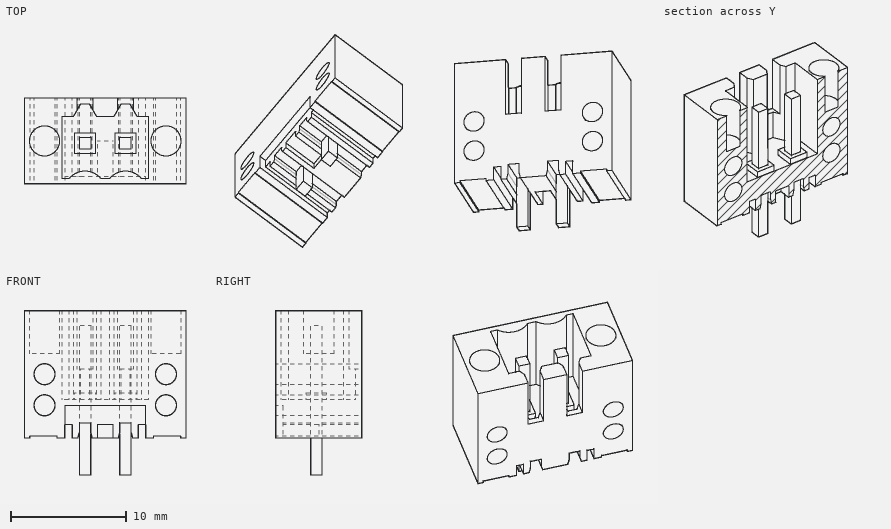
import cadquery as cq

TOTAL_HEIGHT = 14.25

PIN_PITCH = 3.5
PIN_SIZE = 1.0
PIN_Y = -0.21
PIN_PROTRUSION = 3.2
PIN_TOP_DROP = 1.3
PIN_XS = (-PIN_PITCH / 2, PIN_PITCH / 2)

LENGTH = 14.0
WIDTH = 7.45
HEIGHT = TOTAL_HEIGHT - PIN_PROTRUSION
FRONT_Y = -WIDTH / 2
BACK_Y = WIDTH / 2

CAVITY_LENGTH = 7.47
CAVITY_FRONT_Y = -3.25
CAVITY_BACK_Y = 2.12
CAVITY_DEPTH = 7.7
CAVITY_FLOOR_Z = HEIGHT - CAVITY_DEPTH

GROOVE_ROOT_WIDTH = 2.0
GROOVE_TIP_WIDTH = 0.77
GROOVE_TIP_Y = 3.19

RIB_WIDTH = 2.74
RIB_RISE = 0.64

BACK_SLOT_WIDTH = 1.41
BACK_SLOT_DEPTH = 5.06

COLLAR_SIZE = 1.78
COLLAR_HEIGHT = 0.57

END_HOLE_X = 5.26
SCREW_HOLE_DIAMETER = 2.61
SCREW_HOLE_DEPTH = 3.7
CROSS_HOLE_DIAMETER = 1.8
CROSS_HOLE_ZS = (2.85, 5.55)

RECESS_LENGTH = 7.01
RECESS_HEIGHT = 2.82
RECESS_DEPTH = 0.63

COMB_LENGTH = 5.75
NOTCH_HEIGHT = 1.18
MIDDLE_NOTCH_WIDTH = 1.35
MIDDLE_NOTCH_BACK_Y = 0.0
PIN_SLOT_WIDTH = 0.97
PIN_SLOT_HEIGHT = 1.33
FLARE_HEIGHT = 0.51
FLARE_WIDTH = 1.23

FOOT_RELIEF_X = 5.36
FOOT_RELIEF_WIDTH = 2.32
FOOT_RELIEF_HEIGHT = 0.17


def box_between(x_range, y_range, z_range):
    """Axis-aligned box spanning the three (low, high) ranges."""
    lows, highs = zip(x_range, y_range, z_range)
    sizes = [high - low for low, high in zip(lows, highs)]
    return cq.Workplane("XY").box(*sizes, centered=False).translate(lows)


def centred(middle, size):
    """The (low, high) range of the given size around a middle value."""
    return (middle - size / 2, middle + size / 2)


def make_pin(x):
    """Straight square pin, from below the housing up into the cavity."""
    z_range = (-PIN_PROTRUSION, HEIGHT - PIN_TOP_DROP)
    return box_between(centred(x, PIN_SIZE), centred(PIN_Y, PIN_SIZE), z_range)


def groove(x):
    """Tapered groove, narrowing towards the back."""
    outline = [
        (x - GROOVE_ROOT_WIDTH / 2, CAVITY_BACK_Y),
        (x - GROOVE_TIP_WIDTH / 2, GROOVE_TIP_Y),
        (x + GROOVE_TIP_WIDTH / 2, GROOVE_TIP_Y),
        (x + GROOVE_ROOT_WIDTH / 2, CAVITY_BACK_Y),
    ]
    floor = cq.Workplane("XY").workplane(offset=CAVITY_FLOOR_Z)
    return floor.polyline(outline).close().extrude(CAVITY_DEPTH)


def rib(x):
    """Rib whose cross-section is a circle segment on the front wall of the cavity."""
    floor = cq.Workplane("XY").workplane(offset=CAVITY_FLOOR_Z)
    return (
        floor.moveTo(x - RIB_WIDTH / 2, CAVITY_FRONT_Y)
        .threePointArc((x, CAVITY_FRONT_Y + RIB_RISE), (x + RIB_WIDTH / 2, CAVITY_FRONT_Y))
        .close()
        .extrude(CAVITY_DEPTH)
    )


def collar(x):
    """Square collar standing on the cavity floor."""
    z_range = (CAVITY_FLOOR_Z, CAVITY_FLOOR_Z + COLLAR_HEIGHT)
    return box_between(centred(x, COLLAR_SIZE), centred(PIN_Y, COLLAR_SIZE), z_range)


def make_cavity():
    """Space taken out of the housing for the plug."""
    cavity = box_between(
        centred(0, CAVITY_LENGTH), (CAVITY_FRONT_Y, CAVITY_BACK_Y), (CAVITY_FLOOR_Z, HEIGHT)
    )
    for x in PIN_XS:
        cavity = cavity.union(groove(x)).cut(rib(x)).cut(collar(x))
    return cavity


def back_slot(x):
    """Slot through the back wall, open at the top."""
    z_range = (HEIGHT - BACK_SLOT_DEPTH, HEIGHT)
    return box_between(centred(x, BACK_SLOT_WIDTH), (CAVITY_BACK_Y, BACK_Y), z_range)


def screw_hole(x):
    """Blind vertical hole in one end."""
    top = cq.Workplane("XY").workplane(offset=HEIGHT)
    return top.center(x, 0).circle(SCREW_HOLE_DIAMETER / 2).extrude(-SCREW_HOLE_DEPTH)


def cross_hole(x, z):
    """Hole through one end from the front face to the back face."""
    front = cq.Workplane("XZ", origin=(0, FRONT_Y, 0))
    return front.center(x, z).circle(CROSS_HOLE_DIAMETER / 2).extrude(-WIDTH)


def pin_slot(x):
    """Slot along Y under the housing, slightly narrower than the pin and flared at its mouth."""
    outline = [
        (x - FLARE_WIDTH / 2, 0),
        (x - PIN_SLOT_WIDTH / 2, FLARE_HEIGHT),
        (x - PIN_SLOT_WIDTH / 2, PIN_SLOT_HEIGHT),
        (x + PIN_SLOT_WIDTH / 2, PIN_SLOT_HEIGHT),
        (x + PIN_SLOT_WIDTH / 2, FLARE_HEIGHT),
        (x + FLARE_WIDTH / 2, 0),
    ]
    front = cq.Workplane("XZ", origin=(0, FRONT_Y, 0))
    return front.polyline(outline).close().extrude(-WIDTH)


def front_recess():
    """Shallow step in the lower middle of the front face."""
    y_range = (FRONT_Y, FRONT_Y + RECESS_DEPTH)
    return box_between(centred(0, RECESS_LENGTH), y_range, (0, RECESS_HEIGHT))


def side_notch(side):
    """Notch along Y between the comb and one end (side is -1 or 1)."""
    width = (RECESS_LENGTH - COMB_LENGTH) / 2
    middle = side * (RECESS_LENGTH + COMB_LENGTH) / 4
    return box_between(centred(middle, width), (FRONT_Y, BACK_Y), (0, NOTCH_HEIGHT))


def middle_notch():
    """Notch between the two pin slots, closed at the back."""
    y_range = (FRONT_Y, MIDDLE_NOTCH_BACK_Y)
    return box_between(centred(0, MIDDLE_NOTCH_WIDTH), y_range, (0, NOTCH_HEIGHT))


def foot_relief(x):
    """Shallow channel along Y that leaves a foot on either side."""
    return box_between(centred(x, FOOT_RELIEF_WIDTH), (FRONT_Y, BACK_Y), (0, FOOT_RELIEF_HEIGHT))


def make_housing():
    """Housing with its cavity, holes, underside comb and pin passages."""
    housing = box_between(centred(0, LENGTH), centred(0, WIDTH), (0, HEIGHT))
    housing = housing.cut(make_cavity()).cut(front_recess()).cut(middle_notch())
    for side in (-1, 1):
        housing = housing.cut(screw_hole(side * END_HOLE_X))
        for z in CROSS_HOLE_ZS:
            housing = housing.cut(cross_hole(side * END_HOLE_X, z))
        housing = housing.cut(side_notch(side)).cut(foot_relief(side * FOOT_RELIEF_X))
    for x in PIN_XS:
        housing = housing.cut(back_slot(x)).cut(pin_slot(x)).cut(make_pin(x))
    return housing


housing = make_housing()
pins = [make_pin(x) for x in PIN_XS]

result = cq.Compound.makeCompound([housing.val(), *[pin.val() for pin in pins]])